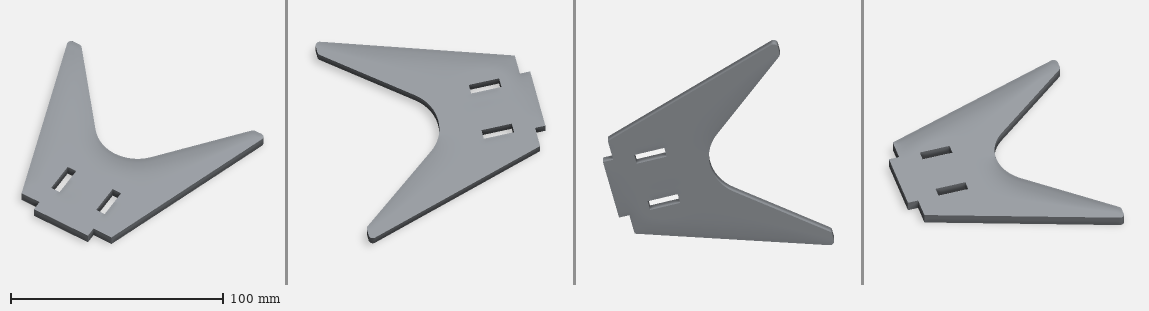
import cadquery as cq
import math

thickness = 5.0
body_height = 90.0
base_half_width = 25.0
top_half_width = 55.0
tip_radius = 2.0

tab_width = 30.0
tab_height = 5.0

notch_radius = 20.0
notch_top_half_width = 47.87
notch_apex_y = 31.96

slot_width = 4.7
slot_length = 14.7
slot_spacing = 25.0
slot_center_y = 17.5

notch_slope = (body_height - notch_apex_y) / notch_top_half_width
notch_angle = math.atan(notch_slope)
notch_center_y = notch_apex_y + notch_radius / math.cos(notch_angle)
notch_tangent_x = notch_radius * math.sin(notch_angle)
notch_tangent_y = notch_apex_y + notch_slope * notch_tangent_x


def make_body():
    """Tapered plate with two arms, rounded at all tip corners."""
    body = (
        cq.Workplane("XY")
        .moveTo(-base_half_width, 0)
        .lineTo(base_half_width, 0)
        .lineTo(top_half_width, body_height)
        .lineTo(notch_top_half_width, body_height)
        .lineTo(notch_tangent_x, notch_tangent_y)
        .threePointArc(
            (0, notch_center_y - notch_radius),
            (-notch_tangent_x, notch_tangent_y),
        )
        .lineTo(-notch_top_half_width, body_height)
        .lineTo(-top_half_width, body_height)
        .close()
        .extrude(thickness)
    )
    return body.edges("|Z").edges(">Y").fillet(tip_radius)


def make_tab():
    """Rectangular tab centred below the base edge."""
    return cq.Workplane("XY").center(0, -tab_height / 2).rect(tab_width, tab_height).extrude(thickness)


def make_slots():
    """Pair of rectangular through slots, mirrored about the centre line."""
    return (
        cq.Workplane("XY")
        .center(0, slot_center_y)
        .rarray(slot_spacing, 1, 2, 1)
        .rect(slot_width, slot_length)
        .extrude(thickness)
    )


result = make_body().union(make_tab()).cut(make_slots())